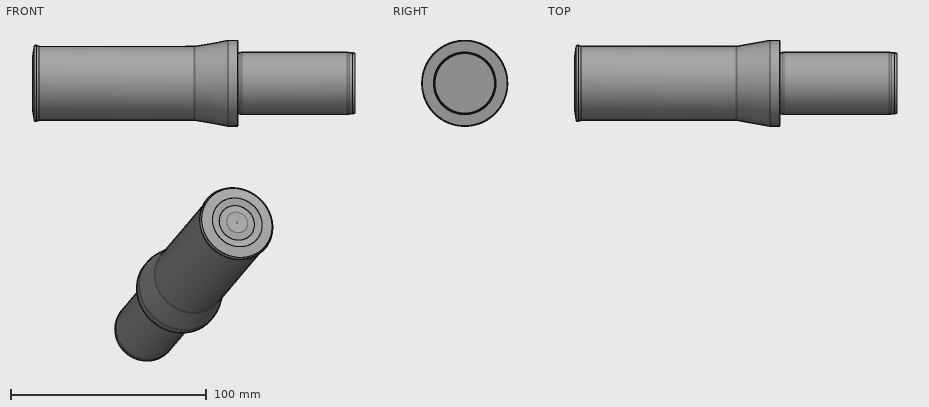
import cadquery as cq
import math

TOTAL_LENGTH = 165.0
FACE_SETBACK = 0.8
WIDEST_POINT = 2.0
TIP_LENGTH = 3.5
FLARE_START = 83.0
COLLAR_START = 100.0
COLLAR_END = 105.1
COLLAR_CHAMFER = 0.3
NECK_LENGTH = 1.0
NECK_CHAMFER = 1.0
END_LAND_LENGTH = 1.6
END_CHAMFER = 1.3
SHOULDER_CHAMFER = 0.8

FLARE_BLEND_RADIUS = 3.0
SHOULDER_BLEND_RADIUS = 1.6
EDGE_POSITION_TOLERANCE = 0.08

TIP_DIAMETER = 39.1
FACE_DIAMETER = 37.6
BODY_DIAMETER = 38.0
COLLAR_DIAMETER = 44.0
SHANK_DIAMETER = 32.0
NECK_DIAMETER = 31.5
END_DIAMETER = 30.5

CREST_DIAMETER = 26.5
VALLEY_DIAMETER = 18.8
INNER_CREST_DIAMETER = 11.2
VALLEY_DEPTH = 0.8
INNER_CREST_DEPTH = 0.2
CENTER_DEPTH = 0.5
CENTER_FLAT_DIAMETER = 0.7

CENTER_X = TOTAL_LENGTH / 2


def profile_points(stations):
    """Turn (x, diameter) stations into points of a half profile centered along X."""
    return [(x - CENTER_X, diameter / 2) for x, diameter in stations]


def revolve_about_x(profile):
    return profile.revolve(360, (0, 0), (1, 0))


def rounded_edge_midpoint():
    """Middle of the arc from the face edge that ends parallel to the axis at the widest point."""
    run = WIDEST_POINT - FACE_SETBACK
    rise = (TIP_DIAMETER - FACE_DIAMETER) / 2
    radius = (run**2 + rise**2) / (2 * rise)
    half_angle = math.asin(run / radius) / 2
    x = WIDEST_POINT - radius * math.sin(half_angle)
    arc_center_radius = TIP_DIAMETER / 2 - radius
    return (x - CENTER_X, arc_center_radius + radius * math.cos(half_angle))


def make_cutting_tip():
    """Disc with a ridged front face, a rounded edge and a rim tapering back to the holder."""
    face_points = profile_points([
        (CENTER_DEPTH, 0),
        (CENTER_DEPTH, CENTER_FLAT_DIAMETER),
        (INNER_CREST_DEPTH, INNER_CREST_DIAMETER),
        (VALLEY_DEPTH, VALLEY_DIAMETER),
        (0, CREST_DIAMETER),
        (FACE_SETBACK, FACE_DIAMETER),
    ])
    rim_points = profile_points([
        (WIDEST_POINT, TIP_DIAMETER),
        (TIP_LENGTH, BODY_DIAMETER),
        (TIP_LENGTH, 0),
    ])
    profile = (
        cq.Workplane("XY")
        .polyline(face_points)
        .threePointArc(rounded_edge_midpoint(), rim_points[0])
        .polyline(rim_points[1:], includeCurrent=True)
        .close()
    )
    return revolve_about_x(profile)


def blend_circle(body, edge_x, radius):
    """Round the circular edge that lies at the given distance from the front."""
    reach = COLLAR_DIAMETER
    near_x = edge_x - CENTER_X - EDGE_POSITION_TOLERANCE
    far_x = edge_x - CENTER_X + EDGE_POSITION_TOLERANCE
    edge_zone = cq.selectors.BoxSelector((near_x, -reach, -reach), (far_x, reach, reach))
    return body.edges("%CIRCLE").edges(edge_zone).fillet(radius)


def make_holder():
    """Long body, flared collar and clamping shank behind the cutting tip."""
    neck_end = COLLAR_END + NECK_LENGTH
    end_land_end = TOTAL_LENGTH - END_CHAMFER
    end_land_start = end_land_end - END_LAND_LENGTH
    shoulder_start = end_land_start - SHOULDER_CHAMFER
    outline = profile_points([
        (TIP_LENGTH, 0),
        (TIP_LENGTH, BODY_DIAMETER),
        (FLARE_START, BODY_DIAMETER),
        (COLLAR_START, COLLAR_DIAMETER),
        (COLLAR_END - COLLAR_CHAMFER, COLLAR_DIAMETER),
        (COLLAR_END, COLLAR_DIAMETER - 2 * COLLAR_CHAMFER),
        (COLLAR_END, NECK_DIAMETER),
        (neck_end, NECK_DIAMETER),
        (neck_end + NECK_CHAMFER, SHANK_DIAMETER),
        (shoulder_start, SHANK_DIAMETER),
        (end_land_start, NECK_DIAMETER),
        (end_land_end, NECK_DIAMETER),
        (TOTAL_LENGTH, END_DIAMETER),
        (TOTAL_LENGTH, 0),
    ])
    holder_body = revolve_about_x(cq.Workplane("XY").polyline(outline).close())
    for edge_x, radius in (
        (FLARE_START, FLARE_BLEND_RADIUS),
        (COLLAR_START, FLARE_BLEND_RADIUS),
        (shoulder_start, SHOULDER_BLEND_RADIUS),
    ):
        holder_body = blend_circle(holder_body, edge_x, radius)
    return holder_body


cutting_tip = make_cutting_tip()
holder = make_holder()
result = cq.Compound.makeCompound([cutting_tip.val(), holder.val()])